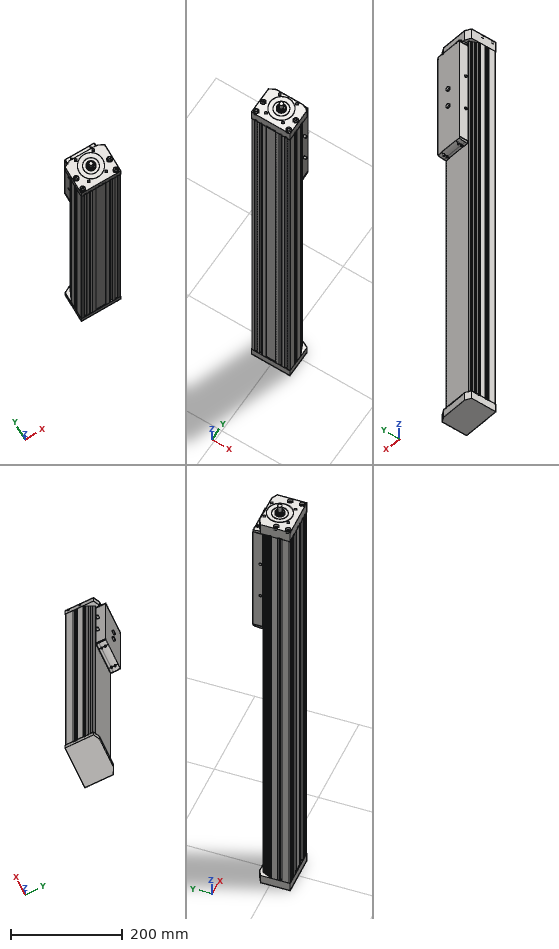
import cadquery as cq
import math

TOTAL_LENGTH = 914.0
WIDTH = 82.0
TOTAL_DEPTH = 79.0
HALF_WIDTH = WIDTH / 2

BOTTOM_PLATE_TOP = 18.0
TOP_PLATE_BOTTOM = 874.0
TOP_PLATE_TOP = 897.0
PLATE_DEPTH = 63.0
PLATE_SHOULDER = 57.0
PLATE_CORNER_INSET = 12.0
LIP_WIDTH = 37.0
LIP_DEPTH = 5.0
LIP_HEIGHT = 3.0

AXIS_Y = 36.0
CIRCLE_RECESS_DIAMETER = 48.0
PILOT_DIAMETER = 30.0
RECESS_STEP = 1.0
MOTOR_HOLE_DIAMETER = 4.9
MOTOR_HOLE_DEPTH = 14.0
MOTOR_HOLE_X = 18.0
MOTOR_HOLE_Y = 23.0

SCREW_X = 35.0
SCREW_ROWS = (6.0, 29.0)
SCREW_HOLE_DIAMETER = 5.0
SCREW_HEAD_DIAMETER = 10.0
SCREW_HEAD_DEPTH = 5.5

SHAFT_DIAMETER = 8.0
COLLARS = ((18.0, 898.0), (15.0, 899.0), (10.0, 901.0))

PROFILE_DEPTH = 56.0
FLANK_START = 36.0
FRONT_CHAMFER = 2.0
FLANK_ANGLE = 25.0
FLANK_GROOVES = 4
FLANK_GROOVE_DEPTH = 0.5
SHALLOW_GROOVE_DEPTH = 2.0
CENTRE_GROOVE_HALF_WIDTH = 10.0
RIB_GROOVE_INNER = 29.0
RIB_GROOVE_OUTER = 35.0
FRONT_SLOT_OUTER = 24.0
FRONT_SLOT_INNER = 21.0
FRONT_SLOT_DEPTH = 5.0
FRONT_SLOPE_END = 17.0
FRONT_SLOPE_DEPTH = 2.0
SIDE_SLOT_Y = 20.0
SIDE_SLOT_WIDTH = 3.0
SIDE_SLOT_DEPTH = 5.0
SIDE_STEP_WIDTH = 8.0
SIDE_STEP_DEPTH = 1.0

FOOT_HALF_WIDTH = 27.0
CARRIAGE_HALF_WIDTH = 31.0
CARRIAGE_BOTTOM_Y = 57.0
CARRIAGE_TOP_Y = 76.0
CARRIAGE_BOTTOM_Z = 632.0
CARRIAGE_LENGTH = 231.0
CARRIAGE_MID_Z = CARRIAGE_BOTTOM_Z + CARRIAGE_LENGTH / 2
PAD_THICKNESS = 5.5
PAD_INSET = 1.0
PAD_ROUNDING_RADIUS = 46.0
PAD_ROUNDING_START = 62.0
PAD_RECESS_HALF_WIDTH = 20.0
PAD_RECESS_DEPTH = 1.0
PAD_PIN_DIAMETER = 3.2
PAD_PIN_ROWS = (63.0, 70.0)
PAD_PIN_HEIGHT = 3.0
SLEEVE_DIAMETER = 8.6
SLEEVE_SPACING = 41.0
PORT_DIAMETER = 5.0
PORT_SPACING = 79.0
PORT_Y = 61.0
PORT_DEPTH = 5.0
NIPPLE_LENGTH = 5.5


def box(x0, x1, y0, y1, z0, z1):
    """Box between two opposite corners."""
    return cq.Workplane("XY").box(x1 - x0, y1 - y0, z1 - z0, centered=False).translate((x0, y0, z0))


def rod(diameter, x, y, z0, z1):
    """Upright cylinder from z0 to z1."""
    return cq.Workplane("XY", origin=(x, y, z0)).circle(diameter / 2).extrude(z1 - z0)


def prism(points, z0, z1):
    """Straight-sided outline in X and Y, extruded from z0 to z1."""
    return cq.Workplane("XY", origin=(0, 0, z0)).polyline(points).close().extrude(z1 - z0)


def both_sides(points, z0, z1):
    """A prism together with its mirror image across X = 0."""
    half = prism(points, z0, z1)
    return half.union(half.mirror("YZ"))


def make_plate(z0, z1):
    """End plate with both back corners sloped."""
    corner_x = HALF_WIDTH - PLATE_CORNER_INSET
    outline = [
        (-HALF_WIDTH, 0),
        (HALF_WIDTH, 0),
        (HALF_WIDTH, PLATE_SHOULDER),
        (corner_x, PLATE_DEPTH),
        (-corner_x, PLATE_DEPTH),
        (-HALF_WIDTH, PLATE_SHOULDER),
    ]
    return prism(outline, z0, z1)


def make_lip(z0):
    """Small ledge on the inner face of a plate, just behind the profile."""
    return box(-LIP_WIDTH / 2, LIP_WIDTH / 2, PROFILE_DEPTH, PROFILE_DEPTH + LIP_DEPTH, z0, z0 + LIP_HEIGHT)


def make_top_plate():
    plate = make_plate(TOP_PLATE_BOTTOM, TOP_PLATE_TOP)
    plate = plate.union(make_lip(TOP_PLATE_BOTTOM - LIP_HEIGHT))
    circle_floor = TOP_PLATE_TOP - RECESS_STEP
    pilot_floor = circle_floor - RECESS_STEP
    plate = plate.cut(rod(CIRCLE_RECESS_DIAMETER, 0, AXIS_Y, circle_floor, TOP_PLATE_TOP))
    plate = plate.cut(rod(PILOT_DIAMETER, 0, AXIS_Y, pilot_floor, circle_floor))
    plate = plate.cut(rod(SHAFT_DIAMETER, 0, AXIS_Y, TOP_PLATE_BOTTOM, pilot_floor))
    for side in (-1, 1):
        for end in (-1, 1):
            x = side * MOTOR_HOLE_X
            y = AXIS_Y + end * MOTOR_HOLE_Y
            plate = plate.cut(
                rod(MOTOR_HOLE_DIAMETER, x, y, TOP_PLATE_TOP - MOTOR_HOLE_DEPTH, TOP_PLATE_TOP)
            )
        for y in SCREW_ROWS:
            x = side * SCREW_X
            plate = plate.cut(rod(SCREW_HOLE_DIAMETER, x, y, TOP_PLATE_BOTTOM, TOP_PLATE_TOP))
            plate = plate.cut(
                rod(SCREW_HEAD_DIAMETER, x, y, TOP_PLATE_TOP - SCREW_HEAD_DEPTH, TOP_PLATE_TOP)
            )
    return plate


def make_bottom_plate():
    return make_plate(0, BOTTOM_PLATE_TOP).union(make_lip(BOTTOM_PLATE_TOP))


def make_shaft():
    """Shaft through the top plate, with stepped collars standing on the pilot floor."""
    shaft = rod(SHAFT_DIAMETER, 0, AXIS_Y, TOP_PLATE_BOTTOM, TOTAL_LENGTH)
    for diameter, top in COLLARS:
        shaft = shaft.union(rod(diameter, 0, AXIS_Y, TOP_PLATE_TOP - 2 * RECESS_STEP, top))
    return shaft


def flank_x(y):
    """X of the leaning flank at a given Y."""
    return HALF_WIDTH - (y - FLANK_START) * math.tan(math.radians(FLANK_ANGLE))


def make_profile():
    z0 = BOTTOM_PLATE_TOP
    z1 = TOP_PLATE_BOTTOM
    outline = [
        (-HALF_WIDTH, FRONT_CHAMFER),
        (-HALF_WIDTH + FRONT_CHAMFER, 0),
        (HALF_WIDTH - FRONT_CHAMFER, 0),
        (HALF_WIDTH, FRONT_CHAMFER),
        (HALF_WIDTH, FLANK_START),
        (flank_x(PROFILE_DEPTH), PROFILE_DEPTH),
        (-flank_x(PROFILE_DEPTH), PROFILE_DEPTH),
        (-HALF_WIDTH, FLANK_START),
    ]
    profile = prism(outline, z0, z1)

    profile = profile.cut(
        box(-CENTRE_GROOVE_HALF_WIDTH, CENTRE_GROOVE_HALF_WIDTH, 0, SHALLOW_GROOVE_DEPTH, z0, z1)
    )
    rib_groove = [
        (RIB_GROOVE_INNER, 0),
        (RIB_GROOVE_OUTER, 0),
        (RIB_GROOVE_OUTER, SHALLOW_GROOVE_DEPTH),
        (RIB_GROOVE_INNER, SHALLOW_GROOVE_DEPTH),
    ]
    profile = profile.cut(both_sides(rib_groove, z0, z1))

    front_slot = [
        (FRONT_SLOPE_END, 0),
        (FRONT_SLOT_OUTER, 0),
        (FRONT_SLOT_OUTER, FRONT_SLOT_DEPTH),
        (FRONT_SLOT_INNER, FRONT_SLOT_DEPTH),
        (FRONT_SLOT_INNER, FRONT_SLOPE_DEPTH),
    ]
    profile = profile.cut(both_sides(front_slot, z0, z1))

    for width, depth in ((SIDE_STEP_WIDTH, SIDE_STEP_DEPTH), (SIDE_SLOT_WIDTH, SIDE_SLOT_DEPTH)):
        slot = [
            (HALF_WIDTH, SIDE_SLOT_Y - width / 2),
            (HALF_WIDTH, SIDE_SLOT_Y + width / 2),
            (HALF_WIDTH - depth, SIDE_SLOT_Y + width / 2),
            (HALF_WIDTH - depth, SIDE_SLOT_Y - width / 2),
        ]
        profile = profile.cut(both_sides(slot, z0, z1))

    pitch = (PROFILE_DEPTH - FLANK_START) / (2 * FLANK_GROOVES + 1)
    for i in range(FLANK_GROOVES):
        low = FLANK_START + (2 * i + 1) * pitch
        high = low + pitch
        groove = [
            (flank_x(low), low),
            (flank_x(high), high),
            (flank_x(high) - FLANK_GROOVE_DEPTH, high),
            (flank_x(low) - FLANK_GROOVE_DEPTH, low),
        ]
        profile = profile.cut(both_sides(groove, z0, z1))
    return profile


def make_pad():
    """Upper end pad of the carriage: rounded towards the back, recessed in the middle, with pins."""
    base = CARRIAGE_BOTTOM_Z + CARRIAGE_LENGTH
    top = base + PAD_THICKNESS
    run = CARRIAGE_TOP_Y - PAD_ROUNDING_START
    drop = PAD_ROUNDING_RADIUS - math.sqrt(PAD_ROUNDING_RADIUS**2 - run**2)
    half_run = run / 2
    half_drop = PAD_ROUNDING_RADIUS - math.sqrt(PAD_ROUNDING_RADIUS**2 - half_run**2)

    def pad_slab(height, half_width):
        return (
            cq.Workplane("YZ", origin=(-half_width, 0, height))
            .moveTo(CARRIAGE_BOTTOM_Y, -PAD_THICKNESS)
            .lineTo(CARRIAGE_BOTTOM_Y, 0)
            .lineTo(PAD_ROUNDING_START, 0)
            .threePointArc((PAD_ROUNDING_START + half_run, -half_drop), (CARRIAGE_TOP_Y, -drop))
            .lineTo(CARRIAGE_TOP_Y, -PAD_THICKNESS)
            .close()
            .extrude(2 * half_width)
        )

    recess_space = box(
        -PAD_RECESS_HALF_WIDTH, PAD_RECESS_HALF_WIDTH, CARRIAGE_BOTTOM_Y, CARRIAGE_TOP_Y, base, top
    )
    pad = pad_slab(top, CARRIAGE_HALF_WIDTH - PAD_INSET).cut(recess_space)
    pad = pad.union(pad_slab(top - PAD_RECESS_DEPTH, PAD_RECESS_HALF_WIDTH))
    for side in (-1, 1):
        for y in PAD_PIN_ROWS:
            pad = pad.union(
                rod(PAD_PIN_DIAMETER, side * PAD_RECESS_HALF_WIDTH, y, base, top + PAD_PIN_HEIGHT)
            )
    return pad


def make_carriage():
    carriage = box(
        -CARRIAGE_HALF_WIDTH,
        CARRIAGE_HALF_WIDTH,
        CARRIAGE_BOTTOM_Y,
        CARRIAGE_TOP_Y,
        CARRIAGE_BOTTOM_Z,
        CARRIAGE_BOTTOM_Z + CARRIAGE_LENGTH,
    )
    foot = box(
        -FOOT_HALF_WIDTH,
        FOOT_HALF_WIDTH,
        PROFILE_DEPTH,
        CARRIAGE_BOTTOM_Y,
        CARRIAGE_BOTTOM_Z,
        CARRIAGE_BOTTOM_Z + CARRIAGE_LENGTH,
    )
    carriage = carriage.union(foot)
    pad = make_pad()
    carriage = carriage.union(pad)
    carriage = carriage.union(pad.mirror("XY", (0, 0, CARRIAGE_MID_Z)))
    for end in (-1, 1):
        sleeve_z = CARRIAGE_MID_Z + end * SLEEVE_SPACING / 2
        sleeve = (
            cq.Workplane("XZ", origin=(0, TOTAL_DEPTH, sleeve_z))
            .circle(SLEEVE_DIAMETER / 2)
            .extrude(TOTAL_DEPTH - CARRIAGE_BOTTOM_Y)
        )
        carriage = carriage.union(sleeve)
        port_z = CARRIAGE_MID_Z + end * PORT_SPACING / 2
        port = (
            cq.Workplane("YZ", origin=(-CARRIAGE_HALF_WIDTH, PORT_Y, port_z))
            .circle(PORT_DIAMETER / 2)
            .extrude(PORT_DEPTH)
        )
        carriage = carriage.cut(port)
        nipple = (
            cq.Workplane("YZ", origin=(CARRIAGE_HALF_WIDTH, PORT_Y, port_z))
            .circle(PORT_DIAMETER / 2)
            .extrude(NIPPLE_LENGTH)
        )
        carriage = carriage.union(nipple)
    return carriage


top_plate = make_top_plate()
bottom_plate = make_bottom_plate()
shaft = make_shaft()
profile = make_profile()
carriage = make_carriage()

result = cq.Compound.makeCompound(
    [profile.val(), top_plate.val(), bottom_plate.val(), shaft.val(), carriage.val()]
)